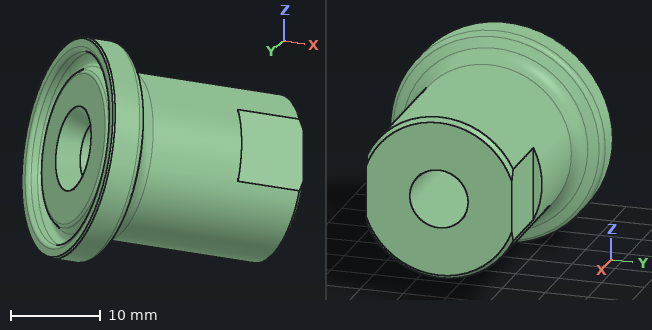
import cadquery as cq
import math

length = 25.0
flange_radius = 12.5
body_radius = 9.5

front_chamfer = 0.2
rim_end = 3.15
rim_rounding = 0.75
neck_fillet = 2.0
back_slope = math.radians(20)

land_recess = 0.75
groove_outer_radius = 10.9
groove_outer_lip_round = 0.5
groove_outer_wall_end = 1.3
groove_floor_round = 0.8
groove_inner_slope = math.radians(35)
land_edge_round = 0.5

bore_radius = 3.4
countersink_radius = 4.77
countersink_angle = math.radians(30)

end_chamfer = 0.5
flat_length = 8.0
across_flats = 17.0


def on_arc(center, radius, angle):
    """Point on a circle, in (axial, radial) coordinates."""
    return (center[0] + radius * math.cos(angle), center[1] + radius * math.sin(angle))


def make_blank():
    """Solid of revolution of the flange, neck and cylindrical body."""
    rim_center = (rim_end, flange_radius - rim_rounding)
    slope_start = on_arc(rim_center, rim_rounding, back_slope)
    rim_mid = on_arc(rim_center, rim_rounding, (math.pi / 2 + back_slope) / 2)

    neck_center_radius = body_radius + neck_fillet
    slope_end_radius = neck_center_radius - neck_fillet * math.sin(back_slope)
    slope_end_x = slope_start[0] + (slope_start[1] - slope_end_radius) * math.tan(back_slope)
    neck_center = (slope_end_x + neck_fillet * math.cos(back_slope), neck_center_radius)
    neck_mid = on_arc(neck_center, neck_fillet, math.pi + (math.pi / 2 + back_slope) / 2)

    return (
        cq.Workplane("XY")
        .moveTo(0, 0)
        .lineTo(0, flange_radius - front_chamfer)
        .lineTo(front_chamfer, flange_radius)
        .lineTo(rim_end, flange_radius)
        .threePointArc(rim_mid, slope_start)
        .lineTo(slope_end_x, slope_end_radius)
        .threePointArc(neck_mid, (neck_center[0], body_radius))
        .lineTo(length - end_chamfer, body_radius)
        .lineTo(length, body_radius - end_chamfer)
        .lineTo(length, 0)
        .close()
        .revolve(360, (0, 0, 0), (1, 0, 0))
    )


def make_face_recess():
    """Gasket groove and the shallow recess of the centre land."""
    lip_start_radius = groove_outer_radius + groove_outer_lip_round
    lip_center = (groove_outer_lip_round, lip_start_radius)
    lip_mid_angle = (math.pi + 3 * math.pi / 2) / 2
    lip_mid = on_arc(lip_center, groove_outer_lip_round, lip_mid_angle)

    floor_center = (groove_outer_wall_end, groove_outer_radius - groove_floor_round)
    floor_end_angle = groove_inner_slope - math.pi / 2
    floor_end = on_arc(floor_center, groove_floor_round, floor_end_angle)
    floor_mid = on_arc(floor_center, groove_floor_round, (math.pi / 2 + floor_end_angle) / 2)

    edge_center_x = land_recess + land_edge_round
    slope_start_x = edge_center_x - land_edge_round * math.sin(groove_inner_slope)
    slope_start_radius = floor_end[1] - (floor_end[0] - slope_start_x) * math.tan(groove_inner_slope)
    edge_center = (edge_center_x, slope_start_radius - land_edge_round * math.cos(groove_inner_slope))
    edge_mid_angle = (math.pi + math.pi / 2 + groove_inner_slope) / 2
    edge_mid = on_arc(edge_center, land_edge_round, edge_mid_angle)

    return (
        cq.Workplane("XY")
        .moveTo(0, 0)
        .lineTo(0, lip_start_radius)
        .threePointArc(lip_mid, (groove_outer_lip_round, groove_outer_radius))
        .lineTo(groove_outer_wall_end, groove_outer_radius)
        .threePointArc(floor_mid, floor_end)
        .lineTo(slope_start_x, slope_start_radius)
        .threePointArc(edge_mid, (land_recess, edge_center[1]))
        .lineTo(land_recess, 0)
        .close()
        .revolve(360, (0, 0, 0), (1, 0, 0))
    )


def make_bore():
    """Through bore with a conical mouth in the land."""
    countersink_end = land_recess + (countersink_radius - bore_radius) / math.tan(countersink_angle)
    return (
        cq.Workplane("XY")
        .moveTo(0, 0)
        .lineTo(0, countersink_radius)
        .lineTo(land_recess, countersink_radius)
        .lineTo(countersink_end, bore_radius)
        .lineTo(length, bore_radius)
        .lineTo(length, 0)
        .close()
        .revolve(360, (0, 0, 0), (1, 0, 0))
    )


def make_flats_cutter():
    """Two blocks that leave the wrench flats facing -Y and +Y."""
    depth = flange_radius - across_flats / 2
    offset = across_flats / 2 + depth / 2
    return (
        cq.Workplane("XY")
        .pushPoints([(length - flat_length / 2, side * offset) for side in (-1, 1)])
        .box(flat_length, depth, 2 * flange_radius)
    )


result = make_blank().cut(make_face_recess()).cut(make_bore()).cut(make_flats_cutter())